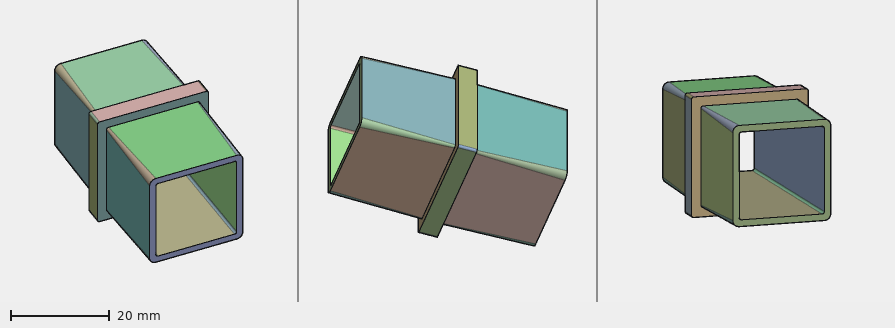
import cadquery as cq

length = 44.0
collar_side = 25.0
collar_width = 4.0
collar_corner_radius = 0.5

tube_side = 21.0
wall = 1.4
bore_side = tube_side - 2 * wall
bore_corner_radius = 0.5

root_corner_radius = 0.5
end_corner_radius = 1.4


def rounded_square(side, radius):
    """Sketch of a centred square with rounded corners."""
    return cq.Sketch().rect(side, side).vertices().fillet(radius)


def square_bar(side, radius, bar_length):
    """Rounded square bar along X, centred on the origin."""
    profile = rounded_square(side, radius)
    return cq.Workplane("YZ", origin=(-bar_length / 2, 0, 0)).placeSketch(profile).extrude(bar_length)


def spigot():
    """Solid +X half of the tube, its corner rounding growing from the collar face to the end."""
    root = rounded_square(tube_side, root_corner_radius)
    end = rounded_square(tube_side, end_corner_radius)
    spigot_length = (length - collar_width) / 2
    return (
        cq.Workplane("YZ", origin=(collar_width / 2, 0, 0))
        .placeSketch(root, end.moved(cq.Location(cq.Vector(0, 0, spigot_length))))
        .loft(ruled=True)
    )


collar = square_bar(collar_side, collar_corner_radius, collar_width)
right_spigot = spigot()
left_spigot = right_spigot.mirror("YZ")
bore = square_bar(bore_side, bore_corner_radius, length)

result = collar.union(right_spigot).union(left_spigot).cut(bore)